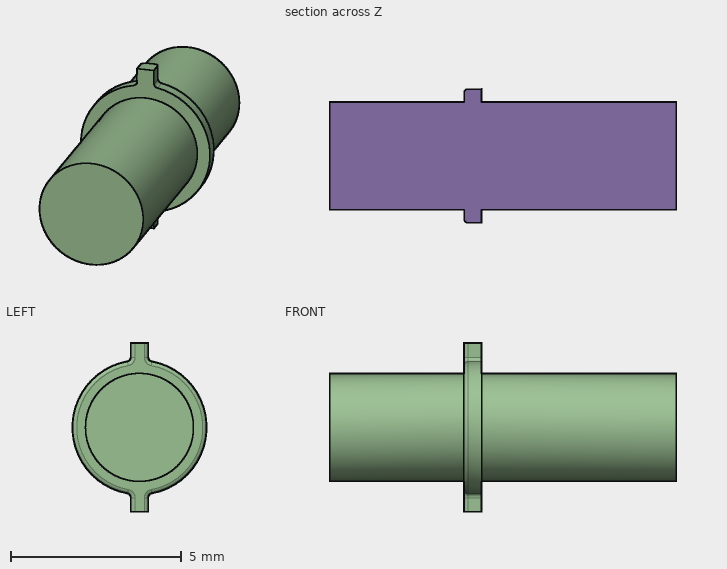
import cadquery as cq

pin_length = 10.16
pin_diameter = 3.17

collar_start = 3.93
collar_thickness = 0.52
collar_diameter = 3.94
tab_span = 4.95
tab_width = 0.52

root_radius = 0.12
front_radius = 0.12


def make_pin():
    return cq.Workplane("YZ").circle(pin_diameter / 2).extrude(pin_length)


def make_collar():
    plane = cq.Workplane("YZ", origin=(collar_start, 0, 0))
    disc = plane.circle(collar_diameter / 2).extrude(collar_thickness)
    tabs = plane.rect(tab_width, tab_span).extrude(collar_thickness)
    collar = disc.union(tabs)

    root_zone = cq.selectors.BoxSelector(
        (collar_start, -tab_width, -collar_diameter / 2),
        (collar_start + collar_thickness, tab_width, collar_diameter / 2),
    )
    collar = collar.edges("|X").edges(root_zone).fillet(root_radius)

    return collar.faces("<X").edges("not |Y").fillet(front_radius)


result = make_pin().union(make_collar())